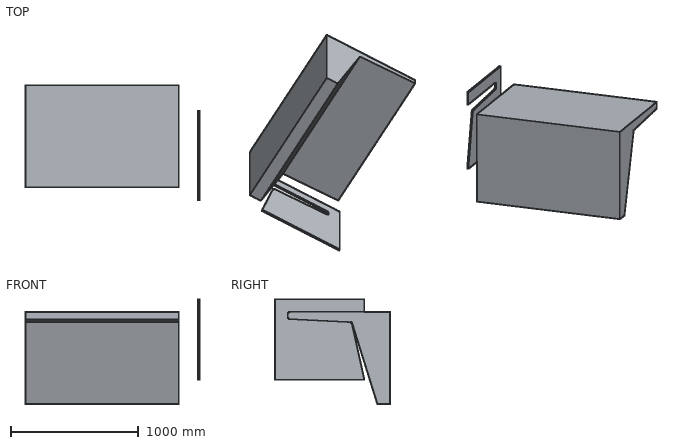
import cadquery as cq

desk_length = 1200
desk_depth = 800
desk_height = 720
foot_depth = 100
knee_depth = 300
front_edge_thickness = 55
knee_thickness = 80
front_edge_bottom = desk_height - front_edge_thickness
knee_bottom = desk_height - knee_thickness

overall_length = 1360.43
overall_depth = 900
panel_thickness = 12
panel_depth = 700
panel_height = 630
panel_rise = 100
panel_left = overall_length - panel_thickness
panel_front = -overall_depth
panel_back = panel_front + panel_depth
panel_top = desk_height + panel_rise
panel_bottom = panel_top - panel_height
slot_corner_radius = 20


def make_desk():
    """Desk top and back support as one extruded profile."""
    return (
        cq.Workplane("YZ")
        .moveTo(0, 0)
        .lineTo(0, desk_height)
        .lineTo(-desk_depth, desk_height)
        .lineTo(-desk_depth, front_edge_bottom)
        .lineTo(-knee_depth, knee_bottom)
        .lineTo(-foot_depth, 0)
        .close()
        .extrude(desk_length)
    )


def edge_along_x(y, z):
    """Selector for the panel edge along X that passes through the given Y and Z."""
    reach = 1
    return cq.selectors.BoxSelector(
        (panel_left - reach, y - reach, z - reach),
        (overall_length + reach, y + reach, z + reach),
    )


def make_side_panel():
    """Plate with a slot shaped like the desk top, open at the back, and a leaning lower back edge."""
    panel = (
        cq.Workplane("YZ", origin=(panel_left, 0, 0))
        .moveTo(panel_front, panel_bottom)
        .lineTo(panel_front, panel_top)
        .lineTo(panel_back, panel_top)
        .lineTo(panel_back, desk_height)
        .lineTo(-desk_depth, desk_height)
        .lineTo(-desk_depth, front_edge_bottom)
        .lineTo(-knee_depth, knee_bottom)
        .lineTo(panel_back, panel_bottom)
        .close()
        .extrude(panel_thickness)
    )
    slot_corners = [
        (-desk_depth, desk_height),
        (-desk_depth, front_edge_bottom),
        (-knee_depth, knee_bottom),
    ]
    for y, z in slot_corners:
        panel = panel.edges(edge_along_x(y, z)).fillet(slot_corner_radius)
    return panel


desk = make_desk()
side_panel = make_side_panel()

result = cq.Compound.makeCompound([desk.val(), side_panel.val()])